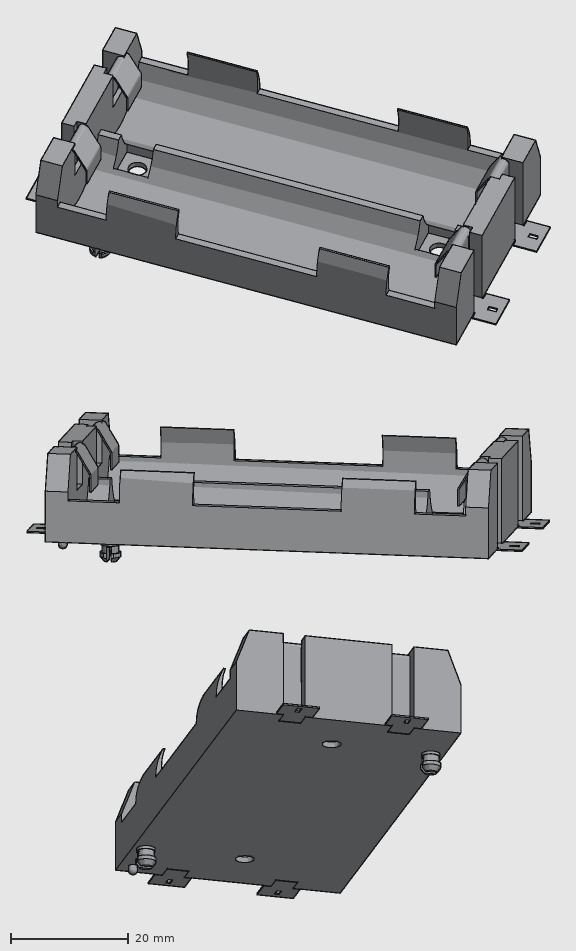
import cadquery as cq
import math

length = 76.9
width = 39.8
height = 14.95
end_wall = 3.95
rim_height = 7.3
end_chamfer_width = 2.3
end_chamfer_start = 8.85

trough_radius = 9.2
trough_floor = 0.3
trough_offset = 9.6

clip_length = 12.7
clip_offset = 19.25
clip_top = 12.7
clip_tip = 0.35

mount_offset = 27.6
pad_size = 6.4
pad_floor = 1.0
pad_hole_diameter = 3.2
post_offset_y = 17.5
collar_diameter = 3.2
collar_height = 0.5
stem_diameter = 2.9
barb_diameter = 3.6
barb_start = 1.8
barb_cone_start = 2.5
barb_tip_diameter = 2.2
post_length = 3.35
post_slit = 0.8
post_slit_start = 0.8

pin_diameter = 1.55
pin_length = 1.55
pin_x = 35.8

sheet = 0.3
terminal_reach = 43.0
terminal_width = 6.45
tab_gap = 0.2
tab_hole_length = 1.55
tab_hole_width = 0.8
tab_hole_x = 41.1
strip_face = 35.9
bend_radius = 1.0
bend_top = 14.7
blade_face = 31.8
blade_bottom = 7.5
blade_lean = math.radians(31)
knee_radius = 1.0

slot_width = 3.9
slot_back = 35.4
recess_back = 36.2

half_length = length / 2
half_width = width / 2
wall_inner = half_length - end_wall
trough_axis = trough_floor + trough_radius
strip_back = strip_face - sheet
slot_inner_edge = trough_offset - slot_width / 2
slot_outer_edge = trough_offset + slot_width / 2
terminal_inner_edge = trough_offset - terminal_width / 2
terminal_outer_edge = trough_offset + terminal_width / 2
bend_center_x = strip_face - bend_radius
bend_center_z = bend_top - bend_radius


def block(x_range, y_range, z_range):
    """Box between two limits on each axis."""
    sizes = [high - low for low, high in (x_range, y_range, z_range)]
    corner = (x_range[0], y_range[0], z_range[0])
    return cq.Workplane().box(*sizes, centered=False).translate(corner)


def place_at_corner(shape, side_x, side_y):
    """Mirror a shape built at +X, +Y to the corner given by the two signs."""
    if side_x < 0:
        shape = shape.mirror("YZ")
    if side_y < 0:
        shape = shape.mirror("XZ")
    return shape


corners = [(side_x, side_y) for side_x in (-1, 1) for side_y in (-1, 1)]


def make_shell():
    """Block with sloped upper edges, lowered to the rim height between the end walls."""
    shell = (
        cq.Workplane("YZ")
        .moveTo(-half_width, 0)
        .lineTo(half_width, 0)
        .lineTo(half_width, end_chamfer_start)
        .lineTo(half_width - end_chamfer_width, height)
        .lineTo(end_chamfer_width - half_width, height)
        .lineTo(-half_width, end_chamfer_start)
        .close()
        .extrude(half_length, both=True)
    )
    inside = (-wall_inner, wall_inner)
    return shell.cut(block(inside, (-half_width, half_width), (rim_height, height)))


def make_clip_blank():
    """Clip at +X, +Y before the trough is cut: its outer arc leaves the side wall vertically."""
    trough_y_at_top = trough_offset + math.sqrt(trough_radius**2 - (clip_top - trough_axis) ** 2)
    tip_y = trough_y_at_top + clip_tip
    rise = clip_top - rim_height
    inset = half_width - tip_y
    arc_radius = (inset**2 + rise**2) / (2 * inset)
    half_angle = math.asin(rise / arc_radius) / 2
    arc_middle = (
        half_width - arc_radius * (1 - math.cos(half_angle)),
        rim_height + arc_radius * math.sin(half_angle),
    )
    return (
        cq.Workplane("YZ", origin=(clip_offset - clip_length / 2, 0, 0))
        .moveTo(trough_offset, rim_height)
        .lineTo(half_width, rim_height)
        .threePointArc(arc_middle, (tip_y, clip_top))
        .lineTo(trough_offset, clip_top)
        .close()
        .extrude(clip_length)
    )


def make_troughs():
    """Both battery cylinders, which also shape the inner faces of the clips."""
    return (
        cq.Workplane("YZ")
        .pushPoints([(-trough_offset, trough_axis), (trough_offset, trough_axis)])
        .circle(trough_radius)
        .extrude(wall_inner, both=True)
    )


def make_pad_pocket():
    """Square pocket through the ridge with a hole through its floor, at +X."""
    pocket = (
        cq.Workplane(origin=(mount_offset, 0, pad_floor))
        .rect(pad_size, pad_size)
        .extrude(rim_height)
    )
    hole = (
        cq.Workplane(origin=(mount_offset, 0, 0))
        .circle(pad_hole_diameter / 2)
        .extrude(pad_floor)
    )
    return pocket.union(hole)


def make_terminal_opening():
    """Slot in the outer face, and a recess beside it in the inner face, at +X, +Y."""
    slot = block(
        (slot_back, half_length),
        (slot_inner_edge, slot_outer_edge),
        (0, height),
    )
    recess = block(
        (wall_inner, recess_back), (terminal_inner_edge, slot_outer_edge), (blade_bottom, height)
    )
    return slot.union(recess)


def make_snap_post():
    """Split post with a collar and a barb flattened to the collar width, on the Z axis."""
    post = (
        cq.Workplane("XZ")
        .lineTo(collar_diameter / 2, 0)
        .lineTo(collar_diameter / 2, -collar_height)
        .lineTo(stem_diameter / 2, -collar_height)
        .lineTo(stem_diameter / 2, -barb_start)
        .lineTo(barb_diameter / 2, -barb_start)
        .lineTo(barb_diameter / 2, -barb_cone_start)
        .lineTo(barb_tip_diameter / 2, -post_length)
        .lineTo(0, -post_length)
        .close()
        .revolve(360, (0, 0, 0), (0, 1, 0))
    )
    half_collar = collar_diameter / 2
    half_barb = barb_diameter / 2
    flats = block((-half_barb, half_barb), (-half_collar, half_collar), (-post_length, 0))
    slit = block(
        (-post_slit / 2, post_slit / 2),
        (-half_collar, half_collar),
        (-post_length, -post_slit_start),
    )
    return post.intersect(flats).cut(slit)


def make_locating_pin():
    """Pin with a hemispherical end, below the underside."""
    radius = pin_diameter / 2
    return (
        cq.Workplane(origin=(pin_x, post_offset_y, 0))
        .circle(radius)
        .extrude(radius - pin_length)
        .union(cq.Workplane(origin=(pin_x, post_offset_y, radius - pin_length)).sphere(radius))
    )


def make_housing():
    housing = make_shell()
    for side_x, side_y in corners:
        housing = housing.union(place_at_corner(make_clip_blank(), side_x, side_y))
    housing = housing.cut(make_troughs())
    for side_x, side_y in corners:
        housing = housing.cut(place_at_corner(make_terminal_opening(), side_x, side_y))
    for side in (-1, 1):
        housing = housing.cut(place_at_corner(make_pad_pocket(), side, 1))
        post = make_snap_post().translate((side * mount_offset, side * post_offset_y, 0))
        housing = housing.union(post)
    return housing.union(make_locating_pin())


def bend_point(radius, angle):
    """Point on the bend; the angle is measured from +X towards +Z."""
    return bend_center_x + radius * math.cos(angle), bend_center_z + radius * math.sin(angle)


def round_knee(sheet_body, knee, radius):
    """Round the edge along Y through the given (X, Z) point."""
    middle = (knee[0], trough_offset, knee[1])
    return sheet_body.edges(cq.selectors.NearestToPointSelector(middle)).fillet(radius)


def make_terminal():
    """Bent sheet at +X, +Y: solder tab, upright strip, bend over the wall, contact blade."""
    inner_radius = bend_radius - sheet
    blade_angle = math.pi - blade_lean
    blade_start = bend_point(bend_radius, blade_angle)
    knee_z = blade_start[1] - (blade_start[0] - blade_face) / math.tan(blade_lean)
    inner_knee_z = knee_z - sheet * math.tan(blade_lean / 2)
    sheet_body = (
        cq.Workplane("XZ", origin=(0, terminal_outer_edge, 0))
        .moveTo(strip_back, 0)
        .lineTo(terminal_reach, 0)
        .lineTo(terminal_reach, sheet)
        .lineTo(strip_face, sheet)
        .lineTo(strip_face, bend_center_z)
        .threePointArc(bend_point(bend_radius, blade_angle / 2), blade_start)
        .lineTo(blade_face, knee_z)
        .lineTo(blade_face, blade_bottom)
        .lineTo(blade_face + sheet, blade_bottom)
        .lineTo(blade_face + sheet, inner_knee_z)
        .lineTo(*bend_point(inner_radius, blade_angle))
        .threePointArc(bend_point(inner_radius, blade_angle / 2), (strip_back, bend_center_z))
        .close()
        .extrude(terminal_width)
    )
    sheet_body = round_knee(sheet_body, (blade_face, knee_z), knee_radius)
    sheet_body = round_knee(sheet_body, (blade_face + sheet, inner_knee_z), knee_radius - sheet)
    in_wall = (wall_inner, half_length + tab_gap)
    inner_trim = block(in_wall, (terminal_inner_edge, slot_inner_edge), (0, bend_center_z))
    outer_trim = block(in_wall, (slot_outer_edge, terminal_outer_edge), (0, height))
    tab_hole = (
        cq.Workplane(origin=(tab_hole_x, trough_offset, 0))
        .rect(tab_hole_length, tab_hole_width)
        .extrude(sheet)
    )
    return sheet_body.cut(inner_trim).cut(outer_trim).cut(tab_hole)


housing = make_housing()
terminals = [place_at_corner(make_terminal(), side_x, side_y) for side_x, side_y in corners]

result = cq.Compound.makeCompound([housing.val(), *[terminal.val() for terminal in terminals]])